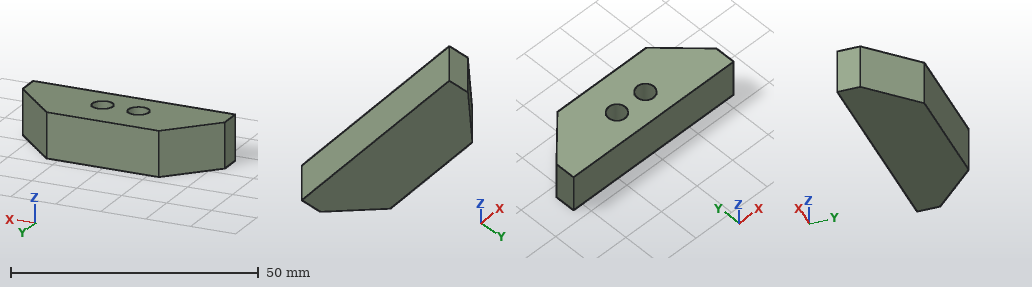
import cadquery as cq

length = 45.0
width = 15.0
height = 10.0
corner_cut = 10.0

hole_diameter = 4.5
hole_spacing = 8.0
hole_from_front = 6.5
hole_depth = 8.0


def make_block():
    """Rectangular block, front face on Y = 0, with both back corners cut off."""
    block = cq.Workplane("XY").box(length, width, height, centered=(True, False, False))
    return block.faces(">Y").edges("|Z").chamfer(corner_cut)


def make_holes():
    """Pair of flat-bottomed holes, symmetric about the YZ plane."""
    centers = [(side * hole_spacing / 2, hole_from_front) for side in (-1, 1)]
    return (
        cq.Workplane("XY")
        .workplane(offset=height - hole_depth)
        .pushPoints(centers)
        .circle(hole_diameter / 2)
        .extrude(hole_depth)
    )


result = make_block().cut(make_holes())